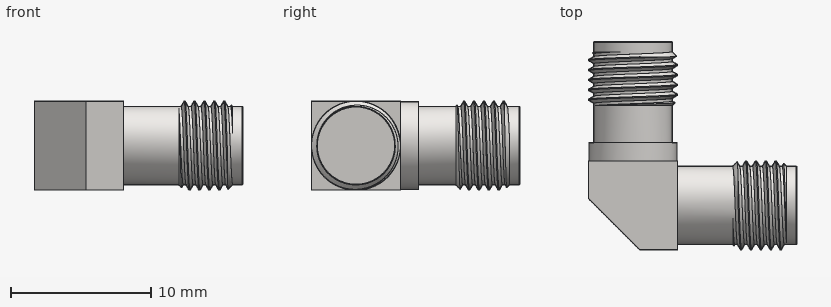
import cadquery as cq
import math

overall_length = 14.86

body_side = 6.35
corner_cut = 3.65

barrel_diameter = 5.6
barrel_length = overall_length - body_side
end_bevel_length = 0.09
end_bevel_depth = 0.05

collar_diameter = 6.29
collar_length = 1.3

thread_diameter = 6.35
crest_span = 2.82
full_crests = 5
thread_pitch = crest_span / (full_crests - 1)
thread_flank_angle = math.radians(30)
crest_width = 0.07
thread_length = 3.83
end_land = 0.75
thread_start = barrel_length - end_land - thread_length
x_crest_offset = 0.42
y_crest_offset = 0.6
root_overlap = 0.05

barrel_radius = barrel_diameter / 2
thread_radius = thread_diameter / 2


def make_body():
    """Square block with its outer elbow corner cut off at 45 degrees."""
    half = body_side / 2
    outline = [
        (corner_cut - half, -half),
        (half, -half),
        (half, half),
        (-half, half),
        (-half, corner_cut - half),
    ]
    return cq.Workplane("XY").polyline(outline).close().extrude(half, both=True)


def make_barrel():
    """Plain barrel along +Z, starting at the body face, with a slightly bevelled tip."""
    outline = [
        (0, 0),
        (barrel_radius, 0),
        (barrel_radius, barrel_length - end_bevel_length),
        (barrel_radius - end_bevel_depth, barrel_length),
        (0, barrel_length),
    ]
    return cq.Workplane("XZ").polyline(outline).close().revolve(360, (0, 0), (0, 1))


def make_thread(crest_offset):
    """Helical ridge around +Z, with both ends run out on 45 degree cones."""
    root_radius = barrel_radius - root_overlap
    half_crest = crest_width / 2
    half_root = half_crest + (thread_radius - root_radius) * math.tan(thread_flank_angle)

    first_crest = thread_start + crest_offset - 2 * thread_pitch
    turns = math.ceil(thread_length / thread_pitch) + 2
    start = cq.Vector(0, 0, first_crest)
    path = cq.Wire.makeHelix(thread_pitch, turns * thread_pitch, root_radius, start)
    profile = [
        (root_radius, first_crest - half_root),
        (thread_radius, first_crest - half_crest),
        (thread_radius, first_crest + half_crest),
        (root_radius, first_crest + half_root),
    ]
    ridge = cq.Workplane("XZ").polyline(profile).close().sweep(cq.Workplane(path), isFrenet=True)

    thread_end = thread_start + thread_length
    outer_radius = thread_radius + root_overlap
    cone_length = outer_radius - barrel_radius
    sleeve = [
        (0, thread_start),
        (barrel_radius, thread_start),
        (outer_radius, thread_start + cone_length),
        (outer_radius, thread_end - cone_length),
        (barrel_radius, thread_end),
        (0, thread_end),
    ]
    envelope = cq.Workplane("XZ").polyline(sleeve).close().revolve(360, (0, 0), (0, 1))
    return ridge.intersect(envelope)


def make_connector(crest_offset, direction):
    """Threaded barrel leaving the body along the given direction."""
    face_centre = tuple(body_side / 2 * component for component in direction)
    seat = cq.Plane(origin=face_centre, xDir=(0, 0, 1), normal=direction)
    connector = make_barrel().union(make_thread(crest_offset))
    return cq.Workplane(connector.val().moved(cq.Location(seat)))


def make_collar():
    """Plain disc around the root of the Y connector."""
    collar = cq.Workplane("XZ", origin=(0, body_side / 2, 0)).circle(collar_diameter / 2)
    return collar.extrude(-collar_length)


elbow = (
    make_body()
    .union(make_collar())
    .union(make_connector(x_crest_offset, (1, 0, 0)))
    .union(make_connector(y_crest_offset, (0, 1, 0)))
)
result = cq.Workplane(elbow.solids().val())